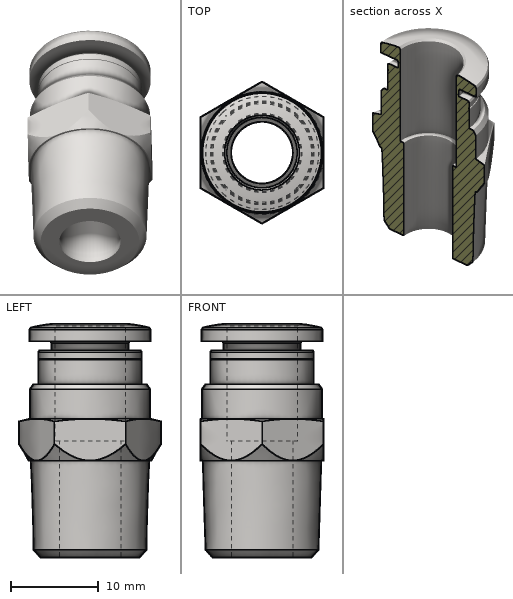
import cadquery as cq
import math

total_height = 26.6
thread_chamfer_top = 0.9
hex_bottom = 11.05
hex_top = 15.8
shoulder_top = 19.75
groove_bottom = 22.48
groove_top = 22.6
collar_top = 23.6
flange_bottom = 24.58
flange_edge = 25.88
flange_crown_edge = 26.15

thread_tip_diameter = 11.23
thread_small_diameter = 12.87
thread_large_diameter = 13.5
shoulder_diameter = 13.7
collar_diameter = 11.8
neck_diameter = 8.8
flange_diameter = 13.8
flange_crown_diameter = 13.5

shoulder_chamfer_width = 0.43
shoulder_chamfer_height = 0.59
collar_chamfer_width = 0.15
collar_chamfer_height = 0.25
groove_depth = 0.08
neck_flare_width = 0.1
neck_flare_height = 0.19
flange_crown_bulge = 0.05

hex_across_flats = 14.0
hex_across_corners = hex_across_flats / math.cos(math.pi / 6)
hex_lower_chamfer_height = 1.85
hex_upper_chamfer_height = 0.32

through_diameter = 7.0
socket_diameter = 8.0
socket_mouth_diameter = 8.5
socket_mouth_depth = 0.25
socket_floor = 13.3


def revolve_profile(radius_height_points):
    """Turn a closed (radius, height) outline around the Z axis."""
    outline = cq.Workplane("XZ").polyline(radius_height_points).close()
    return outline.revolve(360, (0, 0, 0), (0, 1, 0))


def make_turned_body():
    shoulder_radius = shoulder_diameter / 2
    collar_radius = collar_diameter / 2
    groove_radius = collar_radius - groove_depth
    neck_radius = neck_diameter / 2
    return revolve_profile([
        (0, 0),
        (thread_tip_diameter / 2, 0),
        (thread_small_diameter / 2, thread_chamfer_top),
        (thread_large_diameter / 2, hex_bottom),
        (shoulder_radius, hex_bottom),
        (shoulder_radius, shoulder_top - shoulder_chamfer_height),
        (shoulder_radius - shoulder_chamfer_width, shoulder_top),
        (collar_radius, shoulder_top),
        (collar_radius, groove_bottom),
        (groove_radius, groove_bottom),
        (groove_radius, groove_top),
        (collar_radius, groove_top),
        (collar_radius, collar_top - collar_chamfer_height),
        (collar_radius - collar_chamfer_width, collar_top),
        (neck_radius, collar_top),
        (neck_radius, flange_bottom - neck_flare_height),
        (neck_radius + neck_flare_width, flange_bottom),
        (flange_diameter / 2, flange_bottom),
        (flange_diameter / 2, flange_edge),
        (flange_crown_diameter / 2, flange_crown_edge),
        (0, flange_crown_edge),
    ])


def make_flange_crown():
    """Shallow convex cap that rises from the flange edge to the socket mouth."""
    edge_radius = flange_crown_diameter / 2
    mouth_radius = socket_mouth_diameter / 2
    arc_middle = (
        (edge_radius + mouth_radius) / 2,
        (flange_crown_edge + total_height) / 2 + flange_crown_bulge,
    )
    outline = (
        cq.Workplane("XZ")
        .moveTo(0, flange_crown_edge)
        .lineTo(edge_radius, flange_crown_edge)
        .threePointArc(arc_middle, (mouth_radius, total_height))
        .lineTo(0, total_height)
        .close()
    )
    return outline.revolve(360, (0, 0, 0), (0, 1, 0))


def make_hexagon():
    """Hexagonal prism whose corners are trimmed by cones at both ends."""
    prism = (
        cq.Workplane("XY", origin=(0, 0, hex_bottom))
        .transformed(rotate=(0, 0, 90))
        .polygon(6, hex_across_corners)
        .extrude(hex_top - hex_bottom)
    )
    flat_radius = hex_across_flats / 2
    corner_radius = hex_across_corners / 2
    trimming_cones = revolve_profile([
        (0, hex_bottom),
        (flat_radius, hex_bottom),
        (corner_radius, hex_bottom + hex_lower_chamfer_height),
        (corner_radius, hex_top - hex_upper_chamfer_height),
        (shoulder_diameter / 2, hex_top),
        (0, hex_top),
    ])
    return prism.intersect(trimming_cones)


def make_bore():
    through_radius = through_diameter / 2
    socket_radius = socket_diameter / 2
    return revolve_profile([
        (0, 0),
        (through_radius, 0),
        (through_radius, socket_floor),
        (socket_radius, socket_floor),
        (socket_radius, total_height - socket_mouth_depth),
        (socket_mouth_diameter / 2, total_height),
        (0, total_height),
    ])


fitting = make_turned_body().union(make_flange_crown()).union(make_hexagon())
result = fitting.cut(make_bore())